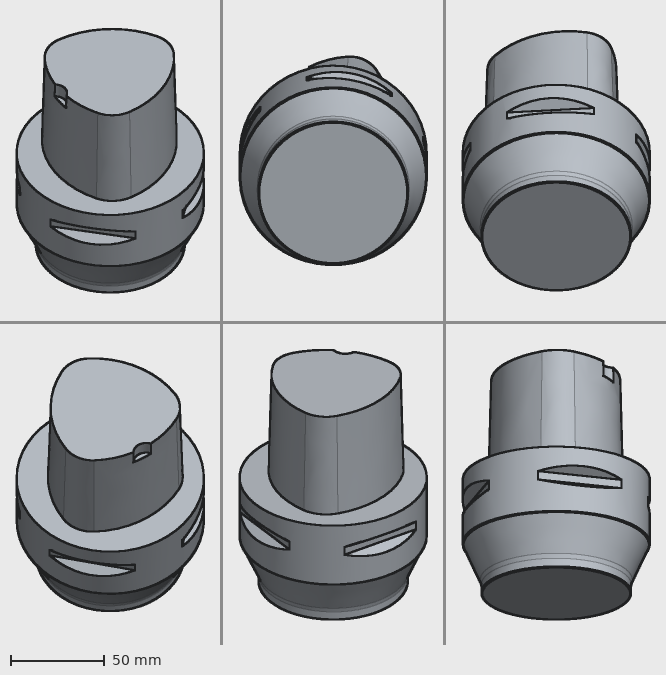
import cadquery as cq
import math

total_height = 125.0
collar_diameter = 100.0
spigot_diameter = 80.0

spigot_top = 5.1
cone_bottom = 7.8
collar_bottom = 28.4
collar_top = 65.0
edge_chamfer = 0.5
cone_bottom_radius = 40.6

lobe_center_distance = 20.2
lobe_base_radius = 18.5
shank_taper = 1 / 40

notch_radius = 6.9
notch_inner_y = -28.8
notch_depth = 8.4

slot_count = 4
slot_middle_height = 49.0
slot_floor_width = 4.8
slot_floor_distance = 44.2
slot_wall_angle = 30.0


def make_body():
    """Revolve the spigot, the conical neck and the collar."""
    collar_radius = collar_diameter / 2
    spigot_radius = spigot_diameter / 2
    profile = [
        (0, 0),
        (spigot_radius - edge_chamfer, 0),
        (spigot_radius, edge_chamfer),
        (spigot_radius, spigot_top),
        (cone_bottom_radius, cone_bottom),
        (collar_radius - edge_chamfer, collar_bottom - edge_chamfer),
        (collar_radius, collar_bottom),
        (collar_radius, collar_top),
        (0, collar_top),
    ]
    return cq.Workplane("XZ").polyline(profile).close().revolve(360, (0, 0), (0, 1))


def polar_point(distance, angle, center=(0, 0)):
    x = center[0] + distance * math.cos(math.radians(angle))
    y = center[1] + distance * math.sin(math.radians(angle))
    return (x, y)


def add_lobed_outline(plane, lobe_radius):
    """Draw three lobe arcs joined by tangent flank arcs, one lobe pointing to +Y."""
    flank_radius = lobe_center_distance * math.sqrt(3) + lobe_radius
    start_center = polar_point(lobe_center_distance, 90)
    outline = plane.moveTo(*polar_point(lobe_radius, 60, start_center))
    for lobe_angle in (90, 210, 330):
        lobe_center = polar_point(lobe_center_distance, lobe_angle)
        opposite_center = polar_point(lobe_center_distance, lobe_angle - 120)
        outline = outline.threePointArc(
            polar_point(lobe_radius, lobe_angle, lobe_center),
            polar_point(lobe_radius, lobe_angle + 30, lobe_center),
        ).threePointArc(
            polar_point(flank_radius, lobe_angle + 60, opposite_center),
            polar_point(flank_radius, lobe_angle + 90, opposite_center),
        )
    return outline.close()


def make_shank():
    """Loft the tapered shank from the collar to the top face."""
    height = total_height - collar_top
    base = add_lobed_outline(cq.Workplane("XY").workplane(offset=collar_top), lobe_base_radius)
    top_plane = base.workplane(offset=height)
    return add_lobed_outline(top_plane, lobe_base_radius - height * shank_taper).loft(ruled=True)


def make_notch():
    """Vertical round-backed notch cutter on the -Y flank."""
    return (
        cq.Workplane("XY")
        .workplane(offset=total_height - notch_depth)
        .center(0, notch_inner_y - notch_radius)
        .circle(notch_radius)
        .extrude(notch_depth)
    )


def make_slot(angle):
    """Straight trapezoidal cutter that widens outwards from its flat floor."""
    depth = collar_diameter / 2 - slot_floor_distance
    floor_half = slot_floor_width / 2
    mouth_half = floor_half + depth * math.tan(math.radians(slot_wall_angle))
    profile = [
        (slot_floor_distance, slot_middle_height - floor_half),
        (slot_floor_distance + depth, slot_middle_height - mouth_half),
        (slot_floor_distance + depth, slot_middle_height + mouth_half),
        (slot_floor_distance, slot_middle_height + floor_half),
    ]
    cutter = cq.Workplane("XZ").polyline(profile).close().extrude(collar_diameter / 2, both=True)
    return cutter.rotate((0, 0, 0), (0, 0, 1), angle)


result = make_body().union(make_shank()).cut(make_notch())
for slot_index in range(slot_count):
    result = result.cut(make_slot(45 + slot_index * 360 / slot_count))